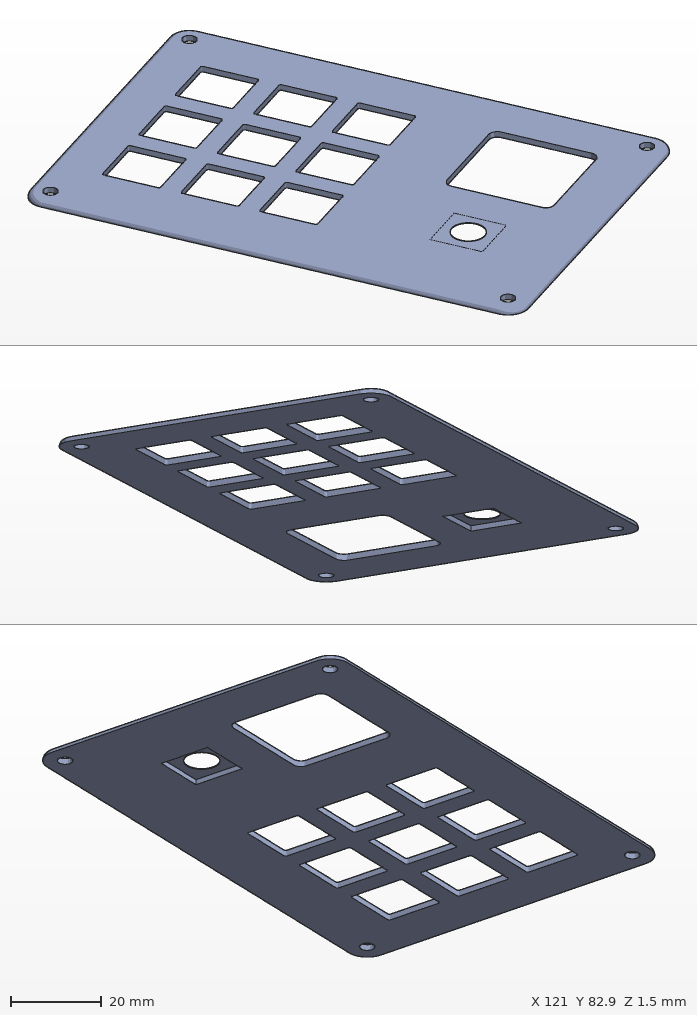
import cadquery as cq

LENGTH = 121.0
WIDTH = 82.9
THICKNESS = 1.5
CORNER_RADIUS = 5.0
BOTTOM_LAND = 0.001
RIM_RADIUS = THICKNESS - BOTTOM_LAND

SCREW_DIAMETER = 3.4

KEY_COUNT = 3
KEY_SIZE = 14.0
KEY_GRID_SPAN = 52.1
KEY_PITCH = (KEY_GRID_SPAN - KEY_SIZE) / (KEY_COUNT - 1)
KEY_CORNER_RADIUS = 0.5
KEY_GRID_LEFT_MARGIN = 12.2
KEY_GRID_TOP_MARGIN = 14.4
KEY_GRID_CENTER = (
    -LENGTH / 2 + KEY_GRID_LEFT_MARGIN + KEY_GRID_SPAN / 2,
    WIDTH / 2 - KEY_GRID_TOP_MARGIN - KEY_GRID_SPAN / 2,
)

WINDOW_SIZE = 26.0
WINDOW_CORNER_RADIUS = 2.0
WINDOW_CENTER = (34.7, 15.6)

SHAFT_DIAMETER = 8.0
SHAFT_CENTER = (35.5, -13.9)
POCKET_SIZE = 12.7
SKIN_THICKNESS = 0.2


def make_plate():
    """Rounded rectangle whose whole top rim is rounded over."""
    blank = cq.Workplane("XY").rect(LENGTH, WIDTH).extrude(THICKNESS)
    return blank.edges("|Z").fillet(CORNER_RADIUS).faces(">Z").edges().fillet(RIM_RADIUS)


def square_cutter(size, corner_radius, center):
    """Square prism through the full thickness, with rounded upright corners."""
    cutter = cq.Workplane("XY").center(*center).rect(size, size).extrude(THICKNESS)
    return cutter.edges("|Z").fillet(corner_radius)


def screw_hole_cutters():
    spacing_x = LENGTH - 2 * CORNER_RADIUS
    spacing_y = WIDTH - 2 * CORNER_RADIUS
    corners = cq.Workplane("XY").rect(spacing_x, spacing_y, forConstruction=True).vertices()
    return corners.circle(SCREW_DIAMETER / 2).extrude(THICKNESS)


def cut_key_grid(plate):
    middle = (KEY_COUNT - 1) / 2
    for column in range(KEY_COUNT):
        for row in range(KEY_COUNT):
            x = KEY_GRID_CENTER[0] + (column - middle) * KEY_PITCH
            y = KEY_GRID_CENTER[1] + (row - middle) * KEY_PITCH
            plate = plate.cut(square_cutter(KEY_SIZE, KEY_CORNER_RADIUS, (x, y)))
    return plate


def cut_shaft_mount(plate):
    origin = cq.Workplane("XY").center(*SHAFT_CENTER)
    pocket = origin.rect(POCKET_SIZE, POCKET_SIZE).extrude(THICKNESS - SKIN_THICKNESS)
    hole = origin.circle(SHAFT_DIAMETER / 2).extrude(THICKNESS)
    return plate.cut(pocket).cut(hole)


result = make_plate().cut(screw_hole_cutters())
result = cut_key_grid(result)
result = result.cut(square_cutter(WINDOW_SIZE, WINDOW_CORNER_RADIUS, WINDOW_CENTER))
result = cut_shaft_mount(result)